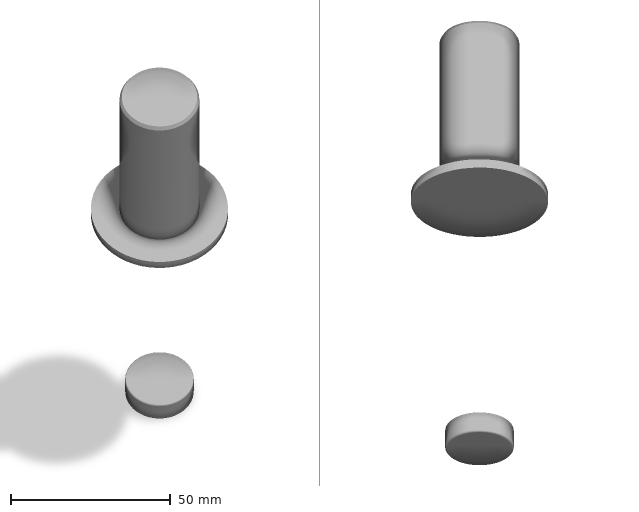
import cadquery as cq
import math

total_height = 148.5

flange_diameter = 43.0
flange_thickness = 3.0
shaft_diameter = 25.0
pin_height = 59.0

lead_in_height = 1.2
lead_in_angle = 30.0
lead_in_depth = lead_in_height * math.tan(math.radians(lead_in_angle))

disc_diameter = 21.5
disc_thickness = 7.1
disc_rim_radius = 0.6

pin_base = total_height - pin_height


def make_pin():
    """Round shaft with a lead-in chamfer, standing on a thin round flange."""
    flange_radius = flange_diameter / 2
    shaft_radius = shaft_diameter / 2
    flange_top = pin_base + flange_thickness
    half_section = (
        cq.Workplane("XZ")
        .moveTo(0, pin_base)
        .lineTo(flange_radius, pin_base)
        .lineTo(flange_radius, flange_top)
        .lineTo(shaft_radius, flange_top)
        .lineTo(shaft_radius, total_height - lead_in_height)
        .lineTo(shaft_radius - lead_in_depth, total_height)
        .lineTo(0, total_height)
        .close()
    )
    return half_section.revolve(360, (0, 0), (0, 1))


def make_disc():
    """Short round disc, rounded on both rims."""
    disc = cq.Workplane("XY").circle(disc_diameter / 2).extrude(disc_thickness)
    return disc.faces("<Z or >Z").edges().fillet(disc_rim_radius)


pin = make_pin()
disc = make_disc()

result = cq.Compound.makeCompound([pin.val(), disc.val()])